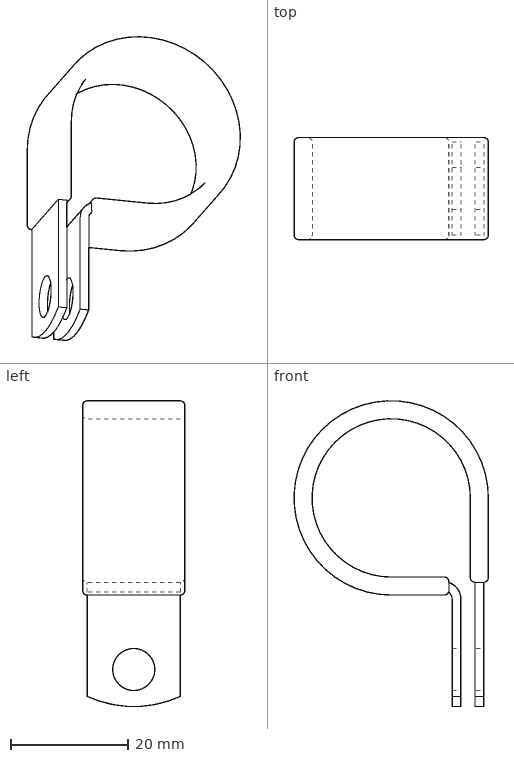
import cadquery as cq
import math


strap_thickness = 1.524
strap_width = 15.875
bend_inner_radius = 1.45
tab_gap = 2.38
tab_tip_z = -35.64
tab_tip_radius = 19.05

hole_diameter = 7.14
hole_to_tip = 6.35

outer_radius = 16.6
cushion_wall = 0.79375
upright_cushion_length = 14.4
level_cushion_length = 9.85

strap_outer_radius = outer_radius - cushion_wall
strap_inner_radius = strap_outer_radius - strap_thickness
cushion_inner_radius = strap_inner_radius - cushion_wall
cushion_middle_radius = (cushion_inner_radius + outer_radius) / 2
cushion_width = strap_width + 2 * cushion_wall
bend_outer_radius = bend_inner_radius + strap_thickness
bent_tab_outer_x = strap_inner_radius - tab_gap
bent_tab_inner_x = bent_tab_outer_x - strap_thickness
bend_center_x = bent_tab_outer_x - bend_outer_radius
bend_center_z = -strap_outer_radius - bend_inner_radius


def diagonal(radius):
    """Coordinate of a 45 degree point on a circle of the given radius."""
    return radius * math.sqrt(0.5)


def centered_plate(profile, width):
    """Extrude a closed XZ profile symmetrically about the XZ plane."""
    return profile.close().extrude(width / 2, both=True)


def make_cushion():
    """Three-quarter ring with two straight legs and every outside edge rounded."""
    middle_inner = diagonal(cushion_inner_radius)
    middle_outer = diagonal(outer_radius)
    profile = (
        cq.Workplane("XZ")
        .moveTo(level_cushion_length, -cushion_inner_radius)
        .lineTo(0, -cushion_inner_radius)
        .threePointArc((-middle_inner, middle_inner), (cushion_inner_radius, 0))
        .lineTo(cushion_inner_radius, -upright_cushion_length)
        .lineTo(outer_radius, -upright_cushion_length)
        .lineTo(outer_radius, 0)
        .threePointArc((-middle_outer, middle_outer), (0, -outer_radius))
        .lineTo(level_cushion_length, -outer_radius)
    )
    body = centered_plate(profile, cushion_width)
    level_end = (level_cushion_length, 0, -cushion_middle_radius)
    upright_end = (cushion_middle_radius, 0, -upright_cushion_length)
    rounded_edges = body.faces("<Y or >Y").edges()
    for end_center in (level_end, upright_end):
        end_face = body.faces(cq.selectors.NearestToPointSelector(end_center))
        rounded_edges = rounded_edges.add(end_face.edges("|Y"))
    return rounded_edges.fillet(cushion_wall)


def make_upright_tab():
    """Straight strap end that continues the vertical leg of the loop."""
    profile = (
        cq.Workplane("XZ")
        .moveTo(strap_inner_radius, 0)
        .lineTo(strap_inner_radius, tab_tip_z)
        .lineTo(strap_outer_radius, tab_tip_z)
        .lineTo(strap_outer_radius, 0)
    )
    return centered_plate(profile, strap_width)


def make_bent_tab():
    """Strap end that leaves the level leg of the loop and bends down."""
    outer_middle = diagonal(bend_outer_radius)
    inner_middle = diagonal(bend_inner_radius)
    profile = (
        cq.Workplane("XZ")
        .moveTo(0, -strap_inner_radius)
        .lineTo(bend_center_x, -strap_inner_radius)
        .threePointArc(
            (bend_center_x + outer_middle, bend_center_z + outer_middle),
            (bent_tab_outer_x, bend_center_z),
        )
        .lineTo(bent_tab_outer_x, tab_tip_z)
        .lineTo(bent_tab_inner_x, tab_tip_z)
        .lineTo(bent_tab_inner_x, bend_center_z)
        .threePointArc(
            (bend_center_x + inner_middle, bend_center_z + inner_middle),
            (bend_center_x, -strap_outer_radius),
        )
        .lineTo(0, -strap_outer_radius)
    )
    return centered_plate(profile, strap_width)


def make_tab_outline():
    """Solid along X whose YZ outline has the curved tab tip and the mounting hole."""
    half_width = strap_width / 2
    tip_rise = tab_tip_radius - math.sqrt(tab_tip_radius**2 - half_width**2)
    corner_z = tab_tip_z + tip_rise
    outline = (
        cq.Workplane("YZ")
        .moveTo(-half_width, 0)
        .lineTo(-half_width, corner_z)
        .threePointArc((0, tab_tip_z), (half_width, corner_z))
        .lineTo(half_width, 0)
        .close()
        .extrude(outer_radius)
    )
    hole = (
        cq.Workplane("YZ")
        .center(0, tab_tip_z + hole_to_tip)
        .circle(hole_diameter / 2)
        .extrude(outer_radius)
    )
    return outline.cut(hole)


tabs = make_upright_tab().union(make_bent_tab()).intersect(make_tab_outline())
result = make_cushion().union(tabs)